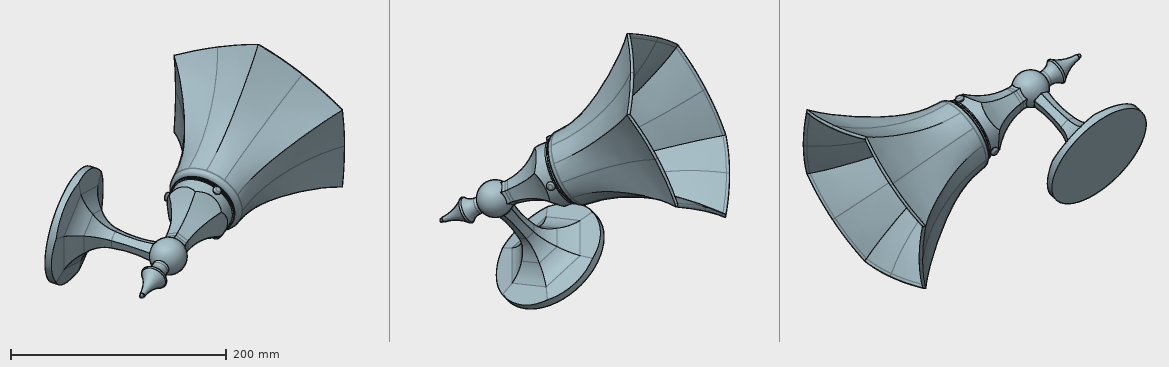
import cadquery as cq
import math

SIDES = 6
SIDE_ANGLE = 360.0 / SIDES
HALF_ANGLE = math.radians(SIDE_ANGLE / 2)

WALL_X = -100.0
PLATE_RADIUS = 57.0
PLATE_EDGE_X = -93.3
FLARE_FOOT = (-89.5, 37.2)
FLARE_UPPER = (-84.4, 27.2)
FLARE_MIDDLE = (-77.4, 19.5)
FLARE_LOWER = (-66.5, 11.6)
FLARE_END = (-54.5, 8.3)
ARM_WAIST = (-35.0, 6.9)
ARM_TIP = (-15.5, 8.3)

BALL_RADIUS = 17.7
FINIAL_TIP_Y = -60.04
FINIAL_TIP_RADIUS = 1.9
FINIAL_TIP_ROUND = 1.0
FINIAL_NECK = (7.9, -18.8)
FINIAL_COVE = (9.2, -25.5)
FINIAL_BEAD_TOP = (12.2, -30.0)
FINIAL_BEAD_MIDDLE = (12.9, -31.1)
FINIAL_BEAD_BOTTOM = (12.2, -32.3)
FINIAL_TAPER_MIDDLE = (5.4, -44.0)
FINIAL_TAPER_END = (2.5, -57.0)

COLLAR_BOTTOM_Y = 13.8
COLLAR_TOP_Y = 20.3
COLLAR_APOTHEM = 10.8
COLLAR_WAIST_APOTHEM = 10.4
HOLDER_CURVE_MIDDLE = (15.9, 41.1)
HOLDER_TOP_APOTHEM = 38.0
CUP_RADIUS = 31.0
CUP_CORNER_Y = 64.0
CUP_TOP_Y = 74.5
LIP_RADIUS = 32.5
LIP_TOP_Y = 76.2

SCREW_COUNT = 3
SCREW_Y = 71.3
SCREW_HEAD_RADIUS = 4.2
SCREW_HEAD_INNER = 31.8
SCREW_HEAD_OUTER = 35.9
SCREW_HEAD_ROUND = 1.8
SCREW_SHANK_RADIUS = 1.5
SCREW_SHANK_LENGTH = 10.0

SHADE_NECK_RADIUS = 32.0
SHADE_FLOOR_Y = 77.9
SHADE_BASE_RADIUS = 36.8
SHADE_BASE_Y = 84.1
SHADE_BASE_ROUND = 5.6
SHADE_SECTIONS = [
    ((SHADE_BASE_RADIUS, SHADE_BASE_Y), (SHADE_BASE_RADIUS, SHADE_BASE_Y)),
    ((44.4, 116.8), (41.4, 116.8)),
    ((62.2, 150.5), (53.2, 150.5)),
    ((78.1, 173.4), (65.2, 173.4)),
    ((99.78, 197.8), (86.72, 201.8)),
]
SHADE_WALL = 4.6
RIM_HEIGHT = 1.9


def along_lamp(y):
    """Workplane square to the lamp axis at height y, facing +Y; local y is -Z."""
    return cq.Workplane("XZ", origin=(0, y, 0)).transformed(rotate=(180, 0, 0))


def lamp_disc(radius, y_bottom, y_top):
    return along_lamp(y_bottom).circle(radius).extrude(y_top - y_bottom)


def hexagonal_body(slab, axis):
    """Body whose hexagonal section follows the outline of a slab set to all three side pairs."""
    body = slab
    for index in range(1, SIDES // 2):
        body = body.intersect(slab.rotate((0, 0, 0), axis, index * SIDE_ANGLE))
    return body


def make_plate():
    return cq.Workplane("YZ", origin=(WALL_X, 0, 0)).circle(PLATE_RADIUS).extrude(PLATE_EDGE_X - WALL_X)


def make_arm():
    slab = (
        cq.Workplane("XY")
        .moveTo(PLATE_EDGE_X, 0)
        .lineTo(PLATE_EDGE_X, PLATE_RADIUS)
        .lineTo(*FLARE_FOOT)
        .threePointArc(FLARE_UPPER, FLARE_MIDDLE)
        .threePointArc(FLARE_LOWER, FLARE_END)
        .threePointArc(ARM_WAIST, ARM_TIP)
        .lineTo(ARM_TIP[0], 0)
        .mirrorX()
        .extrude(2 * PLATE_RADIUS, both=True)
    )
    envelope = cq.Workplane("YZ", origin=(WALL_X, 0, 0)).circle(PLATE_RADIUS).extrude(-WALL_X)
    return hexagonal_body(slab, (1, 0, 0)).intersect(envelope)


def make_ball():
    return (
        cq.Workplane("XY")
        .moveTo(0, -BALL_RADIUS)
        .threePointArc((BALL_RADIUS, 0), (0, BALL_RADIUS))
        .close()
        .revolve(360, (0, 0, 0), (0, 1, 0))
    )


def make_finial():
    return (
        cq.Workplane("XY")
        .lineTo(FINIAL_NECK[0], 0)
        .lineTo(*FINIAL_NECK)
        .threePointArc(FINIAL_COVE, FINIAL_BEAD_TOP)
        .threePointArc(FINIAL_BEAD_MIDDLE, FINIAL_BEAD_BOTTOM)
        .threePointArc(FINIAL_TAPER_MIDDLE, FINIAL_TAPER_END)
        .lineTo(FINIAL_TIP_RADIUS, FINIAL_TAPER_END[1])
        .lineTo(FINIAL_TIP_RADIUS, FINIAL_TIP_Y)
        .lineTo(0, FINIAL_TIP_Y)
        .close()
        .revolve(360, (0, 0, 0), (0, 1, 0))
        .faces("<Y")
        .edges()
        .fillet(FINIAL_TIP_ROUND)
    )


def make_holder():
    collar_middle_y = (COLLAR_BOTTOM_Y + COLLAR_TOP_Y) / 2
    slab = (
        cq.Workplane("XY")
        .moveTo(0, CUP_TOP_Y)
        .lineTo(HOLDER_TOP_APOTHEM, CUP_TOP_Y)
        .lineTo(CUP_RADIUS, CUP_CORNER_Y)
        .threePointArc(HOLDER_CURVE_MIDDLE, (COLLAR_APOTHEM, COLLAR_TOP_Y))
        .lineTo(COLLAR_WAIST_APOTHEM, collar_middle_y)
        .lineTo(COLLAR_APOTHEM, COLLAR_BOTTOM_Y)
        .lineTo(COLLAR_APOTHEM, 0)
        .lineTo(0, 0)
        .mirrorY()
        .extrude(2 * CUP_RADIUS, both=True)
    )
    holder = hexagonal_body(slab, (0, 1, 0)).intersect(lamp_disc(CUP_RADIUS, 0, CUP_TOP_Y))
    return holder.union(lamp_disc(LIP_RADIUS, CUP_TOP_Y, LIP_TOP_Y))


def make_screw():
    """One screw pointing out along -X."""
    head = (
        cq.Workplane("YZ", origin=(-SCREW_HEAD_OUTER, SCREW_Y, 0))
        .circle(SCREW_HEAD_RADIUS)
        .extrude(SCREW_HEAD_OUTER - SCREW_HEAD_INNER)
        .edges()
        .fillet(SCREW_HEAD_ROUND)
    )
    shank = (
        cq.Workplane("YZ", origin=(-SCREW_HEAD_INNER, SCREW_Y, 0))
        .circle(SCREW_SHANK_RADIUS)
        .extrude(SCREW_SHANK_LENGTH)
    )
    return head.union(shank)


def bowed_hexagon(corner, side, inset=0.0, raised=0.0):
    """Closed wire of six arcs, each split at its middle; corner and side are (radius, y) points."""
    def point(radius_and_y, half_steps):
        radius, y = radius_and_y
        angle = half_steps * HALF_ANGLE
        return cq.Vector((radius - inset) * math.sin(angle), y + raised, (radius - inset) * math.cos(angle))

    edges = []
    for index in range(SIDES):
        start = point(corner, 2 * index)
        middle = point(side, 2 * index + 1)
        end = point(corner, 2 * index + 2)
        arc = cq.Edge.makeThreePointArc(start, middle, end)
        edges.append(cq.Edge.makeThreePointArc(start, arc.positionAt(0.25), middle))
        edges.append(cq.Edge.makeThreePointArc(middle, arc.positionAt(0.75), end))
    return cq.Wire.assembleEdges(edges)


def make_bell():
    """Flared glass wall: outer and inner skins joined by a rounded rim and a flat foot ring."""
    outer = [bowed_hexagon(corner, side) for corner, side in SHADE_SECTIONS]
    inner = [bowed_hexagon(corner, side, inset=SHADE_WALL) for corner, side in SHADE_SECTIONS]
    crest = bowed_hexagon(*SHADE_SECTIONS[-1], inset=SHADE_WALL / 2, raised=RIM_HEIGHT)
    faces = [cq.Face.makeFromWires(outer[0], [inner[0]])]
    for wires in (outer, inner, [outer[-1], crest, inner[-1]]):
        faces += cq.occ_impl.shapes.loft(wires, parametrization="chordal").Faces()
    return cq.Workplane(cq.Solid.makeSolid(cq.Shell.makeShell(faces)).fix())


def make_shade():
    neck = lamp_disc(SHADE_NECK_RADIUS, LIP_TOP_Y, SHADE_FLOOR_Y)
    base = lamp_disc(SHADE_BASE_RADIUS, SHADE_FLOOR_Y, SHADE_BASE_Y)
    base = base.faces("<Y").edges().fillet(SHADE_BASE_ROUND)
    return neck.union(base).union(make_bell())


lamp = make_plate().union(make_arm()).union(make_ball()).union(make_finial()).union(make_holder())
for index in range(SCREW_COUNT):
    lamp = lamp.union(make_screw().rotate((0, 0, 0), (0, 1, 0), index * 360.0 / SCREW_COUNT))
lamp = lamp.union(make_shade())

result = cq.Workplane(lamp.solids().val())